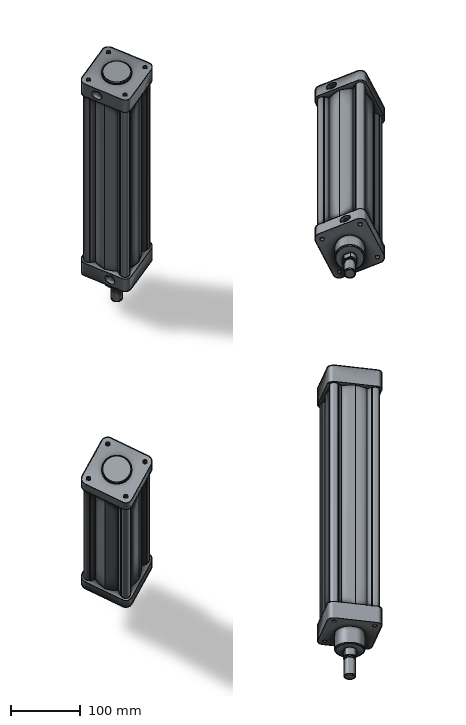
import cadquery as cq
import math


total_height = 491.0
cap_width = 80.0

cap_thickness = 27.0
cap_corner_radius = 10.0
boss_radius = 21.5
boss_chamfer = 1.5
rear_boss_height = 4.0
front_boss_height = 28.0
bolt_offset = 30.0
bolt_hole_radius = 3.0
bolt_hole_depth = 16.0
port_radius = 8.0
port_depth = 12.5
port_offset = 11.0

barrel_length = 361.5
tube_radius = 35.5
ridge_half_width = 8.0
tube_half_width = 18.5
lobe_radius = 7.0
lobe_end = 25.5
groove_lip = 24.0
groove_floor = 20.0

rod_radius = 10.0
rod_flat_offset = 8.5
shank_length = 12.0
neck_radius = 7.5
neck_length = 3.0
thread_radius = 8.5
thread_chamfer = 1.5

top_z = total_height / 2
bottom_z = -total_height / 2
rear_cap_top = top_z - rear_boss_height
rear_cap_bottom = rear_cap_top - cap_thickness
front_cap_top = rear_cap_bottom - barrel_length
front_cap_bottom = front_cap_top - cap_thickness
front_boss_end = front_cap_bottom - front_boss_height
thread_top = front_boss_end - shank_length - neck_length


def cylinder(radius, base_z, height):
    return cq.Workplane("XY").workplane(offset=base_z).circle(radius).extrude(height)


def cap_block(base_z):
    """Square block with rounded vertical corners."""
    block = cq.Workplane("XY").workplane(offset=base_z).rect(cap_width, cap_width).extrude(cap_thickness)
    return block.edges("|Z").fillet(cap_corner_radius)


def bolt_holes(base_z):
    """Four blind holes, one above or below each barrel lobe."""
    spacing = 2 * bolt_offset
    corners = cq.Workplane("XY").workplane(offset=base_z).rect(spacing, spacing, forConstruction=True)
    return corners.vertices().circle(bolt_hole_radius).extrude(bolt_hole_depth)


def port(x, z):
    """Blind air port sunk into the -Y face of a cap."""
    face = cq.Workplane("XZ", origin=(x, -cap_width / 2, z))
    return face.circle(port_radius).extrude(-port_depth)


def make_rear_cap():
    boss = cylinder(boss_radius, rear_cap_top, rear_boss_height).faces(">Z").chamfer(boss_chamfer)
    cap = cap_block(rear_cap_bottom).union(boss)
    cap = cap.cut(bolt_holes(rear_cap_top - bolt_hole_depth))
    return cap.cut(port(-port_offset, rear_cap_bottom + cap_thickness / 2))


def make_front_cap():
    boss = cylinder(boss_radius, front_boss_end, front_boss_height).faces("<Z").chamfer(boss_chamfer)
    cap = cap_block(front_cap_bottom).union(boss)
    cap = cap.cut(bolt_holes(front_cap_bottom))
    return cap.cut(port(port_offset, front_cap_bottom + cap_thickness / 2))


def tube_height(x):
    """Height of the round tube wall at a distance x from the middle of a side."""
    return math.sqrt(tube_radius**2 - x**2)


def turned(point, side):
    """Turn a point of the +Y side clockwise onto another of the four sides."""
    angle = -side * math.pi / 2
    x, y = point
    return (
        x * math.cos(angle) - y * math.sin(angle),
        x * math.sin(angle) + y * math.cos(angle),
    )


def mirrored(point):
    x, y = point
    return (-x, y)


def make_barrel():
    """Extrusion with a ridged round wall on each side, a lobe over each bolt and grooves between."""
    lip_y = bolt_offset + math.sqrt(lobe_radius**2 - (bolt_offset - lobe_end) ** 2)
    floor_y = lip_y - (groove_lip - groove_floor)
    ridge_y = tube_radius**2 / tube_height(ridge_half_width)
    arc_middle_x = (ridge_half_width + tube_half_width) / 2
    lobe_tip = bolt_offset + lobe_radius / math.sqrt(2)

    ridge_foot = (ridge_half_width, tube_height(ridge_half_width))
    arc_middle = (arc_middle_x, tube_height(arc_middle_x))
    tube_edge = (tube_half_width, tube_height(tube_half_width))
    groove_bottom = (groove_floor, floor_y)
    lip = (groove_lip, lip_y)
    lobe_edge = (lobe_end, lip_y)

    outline = cq.Workplane("XY").workplane(offset=front_cap_top).moveTo(*mirrored(lobe_edge))
    for side in range(4):
        for point in (lip, groove_bottom, tube_edge):
            outline = outline.lineTo(*turned(mirrored(point), side))
        outline = outline.threePointArc(
            turned(mirrored(arc_middle), side),
            turned(mirrored(ridge_foot), side),
        )
        for point in ((0, ridge_y), ridge_foot):
            outline = outline.lineTo(*turned(point, side))
        outline = outline.threePointArc(turned(arc_middle, side), turned(tube_edge, side))
        for point in (groove_bottom, lip, lobe_edge):
            outline = outline.lineTo(*turned(point, side))
        outline = outline.threePointArc(
            turned((lobe_tip, lobe_tip), side),
            turned(mirrored(lobe_edge), side + 1),
        )
    return outline.close().extrude(barrel_length)


def make_rod():
    """Shank with two wrench flats, a narrow neck and a chamfered threaded end."""
    shank = cylinder(rod_radius, front_boss_end - shank_length, shank_length)
    flats = cq.Workplane("XY").box(2 * rod_radius, 2 * rod_flat_offset, total_height)
    neck = cylinder(neck_radius, thread_top, neck_length)
    thread = cylinder(thread_radius, bottom_z, thread_top - bottom_z).faces("<Z").chamfer(thread_chamfer)
    return shank.intersect(flats).union(neck).union(thread)


rear_cap = make_rear_cap()
barrel = make_barrel()
front_cap = make_front_cap()
rod = make_rod()

result = cq.Compound.makeCompound([rear_cap.val(), barrel.val(), front_cap.val(), rod.val()])